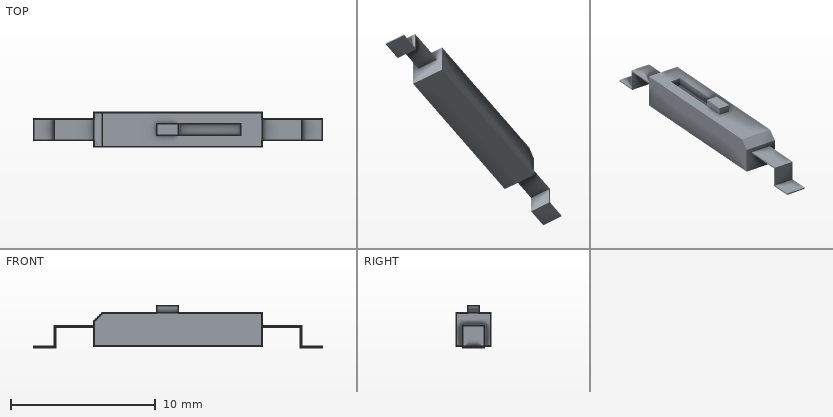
import cadquery as cq

lead_span = 19.94
overall_height = 2.9

housing_length = 11.6
housing_width = 2.4
housing_height = 2.3
standoff = 0.1
chamfer_size = 0.58
housing_top = standoff + housing_height

slot_start_x = -1.48
slot_length = 5.82
slot_width = 0.8
slot_depth = 0.55
knob_length = 1.5
slot_floor = housing_top - slot_depth

lead_width = 1.5
lead_thickness = 0.1
lead_top = 1.5
foot_length = 1.44


def make_housing():
    """Block with one chamfered top edge and a slot in its top face."""
    block = (
        cq.Workplane("XY", origin=(0, 0, standoff))
        .box(housing_length, housing_width, housing_height, centered=(True, True, False))
        .faces(">Z")
        .edges("<X")
        .chamfer(chamfer_size)
    )
    slot = cq.Workplane("XY", origin=(slot_start_x, 0, slot_floor)).box(
        slot_length, slot_width, slot_depth, centered=(False, True, False)
    )
    return block.cut(slot)


def make_knob():
    """Knob at the -X end of the slot, standing on the slot floor."""
    return cq.Workplane("XY", origin=(slot_start_x, 0, slot_floor)).box(
        knob_length, slot_width, overall_height - slot_floor, centered=(False, True, False)
    )


def make_lead(side):
    """Bent strip from the housing end face to its foot; side is -1 or +1 along X."""
    root_x = side * housing_length / 2
    tip_x = side * lead_span / 2
    outer_x = tip_x - side * foot_length
    inner_x = outer_x - side * lead_thickness
    profile = [
        (root_x, lead_top),
        (outer_x, lead_top),
        (outer_x, lead_thickness),
        (tip_x, lead_thickness),
        (tip_x, 0),
        (inner_x, 0),
        (inner_x, lead_top - lead_thickness),
        (root_x, lead_top - lead_thickness),
    ]
    return cq.Workplane("XZ").polyline(profile).close().extrude(lead_width / 2, both=True)


housing = make_housing()
knob = make_knob()
leads = [make_lead(side) for side in (-1, 1)]

result = cq.Compound.makeCompound([housing.val(), knob.val(), *[lead.val() for lead in leads]])